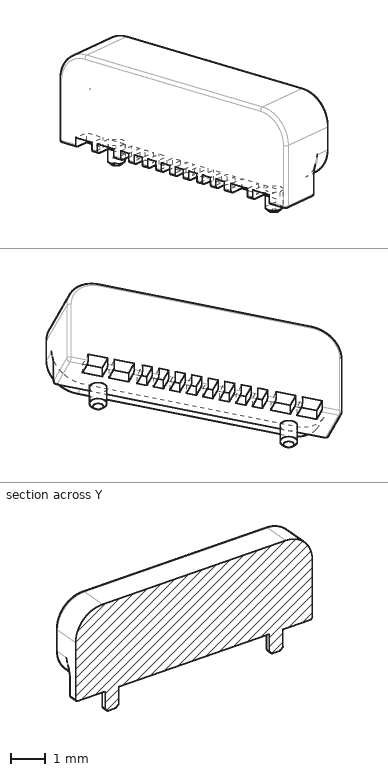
import cadquery as cq

body_width = 8.34
body_height = 2.92
body_depth = 2.0
foot_depth = 1.35
rear_bottom_z = 0.31
corner_radius = 0.95
edge_radius = 0.1
inner_radius = 0.101

slot_height = 0.31
slot_depth = 0.5
narrow_slot_width = 0.3
narrow_slot_pitch = 0.5
narrow_slot_count = 8
wide_slot_width = 0.6
inner_wide_slot_x = 2.45
wide_slot_pitch = 0.8

pin_diameter = 0.5
pin_length = 0.67
pin_chamfer = 0.1
pin_x = 2.89
pin_y = 1.05
pin_root = 0.2

half_width = body_width / 2
sides = (-1, 1)


def block(width, depth, height, front_y, bottom_z):
    """Box centred on X = 0, starting at the given front and bottom."""
    box = cq.Workplane("XY").box(width, depth, height, centered=(True, False, False))
    return box.translate((0, front_y, bottom_z))


def front_body():
    """Full-height front part with rounded upper corners."""
    body = block(body_width, foot_depth, body_height, 0, 0)
    return body.edges("|Y and >Z").fillet(corner_radius)


def rear_body():
    """Shorter rear part with all four corners rounded."""
    rear_depth = body_depth - foot_depth
    rear_height = body_height - rear_bottom_z
    body = block(body_width, rear_depth, rear_height, foot_depth, rear_bottom_z)
    return body.edges("|Y").fillet(corner_radius)


def fillet_inner_corner(body):
    """Concave fillet between the back of the foot and the underside of the rear part;
    it runs on around the rounded ends of the rear part."""
    corner = (0, foot_depth, rear_bottom_z)
    return body.edges(cq.selectors.NearestToPointSelector(corner)).fillet(inner_radius)


def round_outer_edges(body):
    """Round the front, back and bottom edges and the upright back edges of the foot."""
    edges = body.faces("<Y or >Y or <Z").edges()
    for side in sides:
        point = (side * half_width, foot_depth, rear_bottom_z)
        edges = edges.add(body.edges(cq.selectors.NearestToPointSelector(point)))
    return edges.fillet(edge_radius)


def slot(width, center_x):
    """Cutter for one contact slot."""
    return block(width, slot_depth, slot_height, 0, 0).translate((center_x, 0, 0))


def contact_slots():
    """Row of narrow slots with a pair of wide slots at each end."""
    slots = cq.Workplane("XY")
    first_x = -narrow_slot_pitch * (narrow_slot_count - 1) / 2
    for index in range(narrow_slot_count):
        slots = slots.add(slot(narrow_slot_width, first_x + index * narrow_slot_pitch))
    for side in sides:
        for distance in (inner_wide_slot_x, inner_wide_slot_x + wide_slot_pitch):
            slots = slots.add(slot(wide_slot_width, side * distance))
    return slots.combine()


def pin(center_x):
    """Locating pin with a chamfered tip, reaching a little into the foot."""
    body = cq.Workplane("XY").circle(pin_diameter / 2).extrude(pin_length + pin_root)
    body = body.faces("<Z").chamfer(pin_chamfer)
    return body.translate((center_x, pin_y, -pin_length))


result = fillet_inner_corner(front_body().union(rear_body()))
result = round_outer_edges(result)
result = result.cut(contact_slots())
for side in sides:
    result = result.union(pin(side * pin_x))